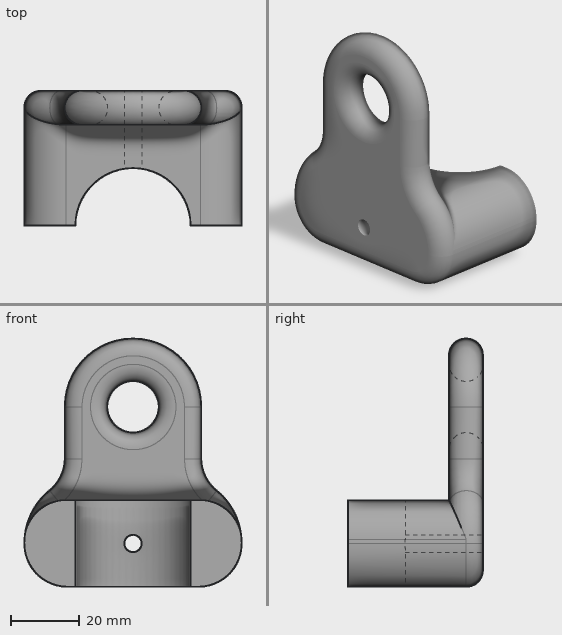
import cadquery as cq
import math

saddle_radius = 16.83
side_wall = 15.0
back_wall = 12.7
block_height = 25.4
plate_thickness = 10.0
rim_radius = plate_thickness / 2
head_radius = 20.0
eye_radius = 7.5
eye_rise = 40.0
shoulder_radius = 20.0
neck_radius = 12.0
block_top_radius = 12.2
screw_diameter = 5.0

mid_height = block_height / 2
half_width = saddle_radius + side_wall
plate_front = saddle_radius + back_wall
plate_back = plate_front + plate_thickness
plate_middle = plate_front + rim_radius
eye_height = mid_height + eye_rise
bottom_radius = mid_height
bottom_flat = half_width - bottom_radius

shoulder_x = half_width - shoulder_radius
neck_x = head_radius + neck_radius
centre_distance = shoulder_radius + neck_radius
neck_angle = math.acos((neck_x - shoulder_x) / centre_distance)
neck_height = mid_height + centre_distance * math.sin(neck_angle)

corner_height = block_height - block_top_radius
corner_angle = math.asin((corner_height - mid_height) / (shoulder_radius - block_top_radius))
corner_x = shoulder_x + (shoulder_radius - block_top_radius) * math.cos(corner_angle)


def arc_point(centre_x, centre_z, radius, angle):
    """Point on a circle in the XZ plane, at an angle from +X."""
    return centre_x + radius * math.cos(angle), centre_z + radius * math.sin(angle)


def shoulder_point(angle):
    return arc_point(shoulder_x, mid_height, shoulder_radius, angle)


def corner_point(angle):
    return arc_point(corner_x, corner_height, block_top_radius, angle)


def lower_right_outline():
    """Bottom edge and lower right round, from the centre line up to mid-height."""
    return (
        cq.Workplane("XZ")
        .lineTo(bottom_flat, 0)
        .threePointArc(
            arc_point(bottom_flat, mid_height, bottom_radius, -math.pi / 4),
            (half_width, mid_height),
        )
    )


def make_rim_centre_line():
    """Closed plate outline moved inward by the rim radius."""
    outline = (
        lower_right_outline()
        .threePointArc(shoulder_point(neck_angle / 2), shoulder_point(neck_angle))
        .threePointArc(
            arc_point(neck_x, neck_height, neck_radius, math.pi + neck_angle / 2),
            (head_radius, neck_height),
        )
        .lineTo(head_radius, eye_height)
        .threePointArc(
            arc_point(0, eye_height, head_radius, math.pi / 4),
            (0, eye_height + head_radius),
        )
        .mirrorY()
    )
    return outline.offset2D(-rim_radius)


def make_plate():
    """Eye plate: a flat core with a round bar along its rim and around its eye."""
    centre_line = make_rim_centre_line().val()
    core = cq.Workplane("XZ").add(centre_line).toPending().extrude(-plate_thickness)
    core = core.translate((0, plate_front, 0))

    path = centre_line.translate(cq.Vector(0, plate_middle, 0))
    bar_section = cq.Plane(origin=path.positionAt(0), normal=path.tangentAt(0))
    rim = cq.Workplane(bar_section).circle(rim_radius).sweep(cq.Workplane(path))

    eye_bar_radius = eye_radius + rim_radius
    eye_opening = (
        cq.Workplane("XZ", origin=(0, plate_front, eye_height))
        .circle(eye_bar_radius)
        .extrude(-plate_thickness)
    )
    eye_bar = cq.Solid.makeTorus(
        eye_bar_radius, rim_radius, cq.Vector(0, plate_middle, eye_height), cq.Vector(0, 1, 0)
    )
    return core.union(rim).cut(eye_opening).union(cq.Workplane(eye_bar))


def make_block():
    """Block with round sides that runs from the open face into the plate."""
    return (
        lower_right_outline()
        .threePointArc(shoulder_point(corner_angle / 2), shoulder_point(corner_angle))
        .threePointArc(
            corner_point((corner_angle + math.pi / 2) / 2),
            (corner_x, block_height),
        )
        .lineTo(0, block_height)
        .mirrorY()
        .extrude(-plate_middle)
    )


def make_saddle():
    """Vertical cylinder centred on the open face; its rear half forms the seat."""
    return cq.Workplane("XY").circle(saddle_radius).extrude(block_height)


def make_screw_hole():
    """Hole from the middle of the seat through the back of the plate."""
    return (
        cq.Workplane("XZ", origin=(0, 0, mid_height))
        .circle(screw_diameter / 2)
        .extrude(-plate_back)
    )


result = make_plate().union(make_block()).cut(make_saddle()).cut(make_screw_hole())